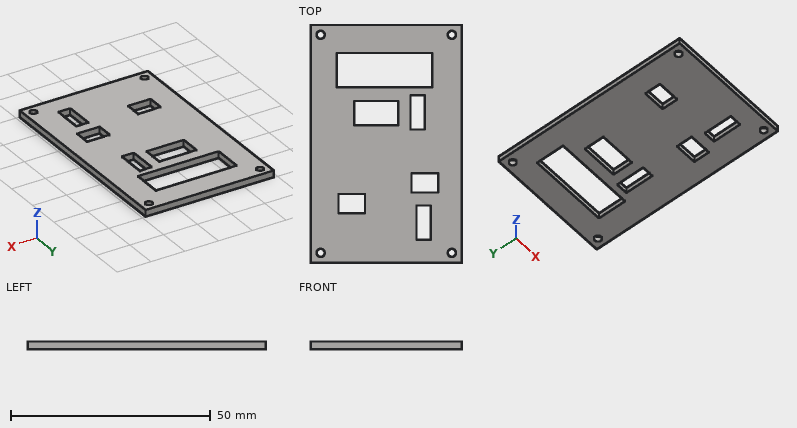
import cadquery as cq

plate_width = 37.95
plate_length = 59.8
plate_thickness = 2.0

hole_diameter = 2.0
hole_inset = 2.5

display_size = (23.9, 8.55)
module_size = (11.0, 6.05)
slot_size = (3.5, 8.55)
small_size = (6.65, 4.8)

windows = [
    (display_size, (-0.4, 18.55)),
    (module_size, (-2.5, 7.7)),
    (slot_size, (7.9, 7.9)),
    (slot_size, (9.4, -19.8)),
    (small_size, (9.7, -9.8)),
    (small_size, (-8.65, -15.0)),
]


def make_plate():
    return cq.Workplane("XY").box(plate_width, plate_length, plate_thickness, centered=(True, True, False))


def cut_corner_holes(plate):
    hole_spacing_x = plate_width - 2 * hole_inset
    hole_spacing_y = plate_length - 2 * hole_inset
    return (
        plate.faces(">Z")
        .workplane(origin=(0, 0, plate_thickness))
        .rarray(hole_spacing_x, hole_spacing_y, 2, 2)
        .hole(hole_diameter)
    )


def cut_window(plate, size, center):
    cutter = cq.Workplane("XY").center(*center).rect(*size).extrude(plate_thickness)
    return plate.cut(cutter)


result = cut_corner_holes(make_plate())
for window_size, window_center in windows:
    result = cut_window(result, window_size, window_center)